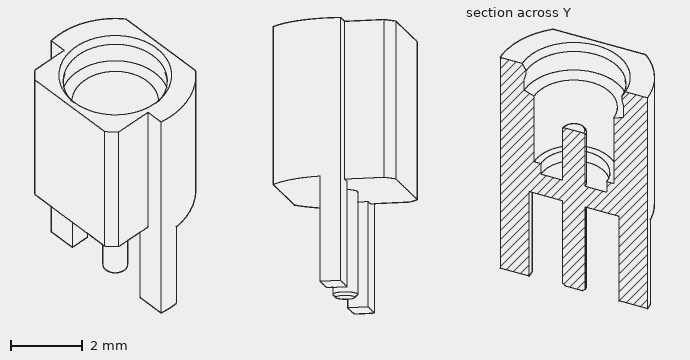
import cadquery as cq

total_height = 7.5
outer_diameter = 4.5
body_depth = 3.5
leg_length = 3.0

nose_width = 3.39
shoulder_y = -0.35

leg_thickness = 0.585
leg_inner_x = 1.365

mouth_diameter = 3.14
throat_diameter = 2.9
relief_diameter = 3.02
bore_diameter = 2.42
recess_diameter = 2.0
mouth_depth = 0.225
lip_depth = 0.32
relief_depth = 0.55
seat_top_depth = 0.93
seat_bottom_depth = 1.05
bore_depth = 3.375
recess_depth = 3.75

pin_diameter = 0.7
pin_bottom_chamfer = 0.08
pin_top_chamfer = 0.045
pin_top_depth = 1.875

outer_radius = outer_diameter / 2
body_back_y = body_depth / 2


def make_box(x_min, x_max, y_min, y_max, z_min, z_max):
    """Return a box given by its limits along each axis."""
    size = (x_max - x_min, y_max - y_min, z_max - z_min)
    return cq.Workplane("XY").box(*size, centered=False).translate((x_min, y_min, z_min))


def make_shell():
    """Wide rear half, narrow nose and two legs, all trimmed by one cylinder."""
    half_nose = nose_width / 2
    rear = make_box(-outer_radius, outer_radius, shoulder_y, body_back_y, leg_length, total_height)
    nose = make_box(-half_nose, half_nose, -body_back_y, body_back_y, leg_length, total_height)
    shell = rear.union(nose)
    leg_back_y = shoulder_y + leg_thickness
    for x_min, x_max in ((-outer_radius, -leg_inner_x), (leg_inner_x, outer_radius)):
        leg = make_box(x_min, x_max, shoulder_y, leg_back_y, 0, total_height - seat_bottom_depth)
        shell = shell.union(leg)
    envelope = cq.Workplane("XY").circle(outer_radius).extrude(total_height)
    return shell.intersect(envelope)


def make_socket():
    """Revolved cavity: flared mouth, retaining lip, undercut relief, tapered seat, bore and floor recess."""
    steps = [
        (mouth_diameter, 0),
        (throat_diameter, mouth_depth),
        (throat_diameter, lip_depth),
        (relief_diameter, relief_depth),
        (relief_diameter, seat_top_depth),
        (bore_diameter, seat_bottom_depth),
        (bore_diameter, bore_depth),
        (recess_diameter, bore_depth),
        (recess_diameter, recess_depth),
    ]
    wall = [(diameter / 2, total_height - depth) for diameter, depth in steps]
    profile = [(0, total_height)] + wall + [(0, total_height - recess_depth)]
    return cq.Workplane("XZ").polyline(profile).close().revolve(360, (0, 0), (0, 1))


def make_pin():
    """Centre pin with both ends chamfered."""
    pin = cq.Workplane("XY").circle(pin_diameter / 2).extrude(total_height - pin_top_depth)
    pin = pin.faces("<Z").edges().chamfer(pin_bottom_chamfer)
    return pin.faces(">Z").edges().chamfer(pin_top_chamfer)


result = make_shell().cut(make_socket()).union(make_pin())